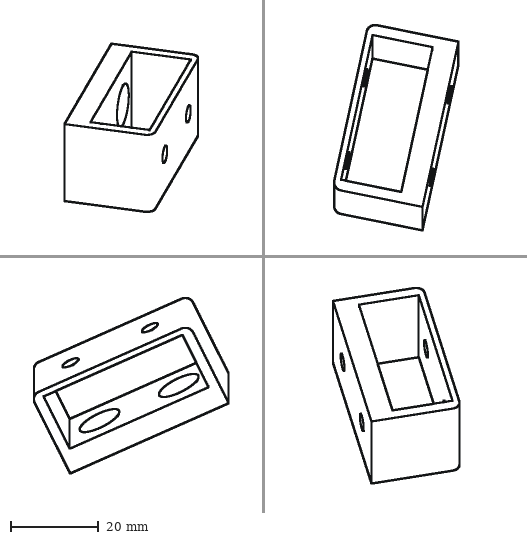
import cadquery as cq

depth = 21.0
length = 40.0
height = 20.0
corner_radius = 2.0

hole_diameter = 4.0
hole_spacing = length / 2
countersink_diameter = 10.0
countersink_depth = (countersink_diameter - hole_diameter) / 2

opening_depth = 14.0
opening_length = 35.0
end_wall = (length - opening_length) / 2

thick_wall = end_wall + countersink_depth
inner_face_x = -depth / 2 + thick_wall


def make_block():
    """Block with its two vertical +X edges rounded."""
    block = cq.Workplane("XY").box(depth, length, height)
    return block.edges("|Z and >X").fillet(corner_radius)


def make_opening():
    """Vertical opening, closer to the +X face."""
    opening = cq.Workplane("XY").box(opening_depth, opening_length, height)
    return opening.translate((inner_face_x + opening_depth / 2, 0, 0))


def make_screw_hole(y):
    """Cylinder through both long walls plus the countersink in the thick wall."""
    shaft = (
        cq.Workplane("YZ")
        .center(y, 0)
        .circle(hole_diameter / 2)
        .extrude(depth / 2, both=True)
    )
    countersink = cq.Solid.makeCone(
        hole_diameter / 2,
        countersink_diameter / 2,
        countersink_depth,
        pnt=cq.Vector(inner_face_x - countersink_depth, y, 0),
        dir=cq.Vector(1, 0, 0),
    )
    return shaft.union(cq.Workplane(obj=countersink))


result = make_block().cut(make_opening())
for hole_y in (-hole_spacing / 2, hole_spacing / 2):
    result = result.cut(make_screw_hole(hole_y))